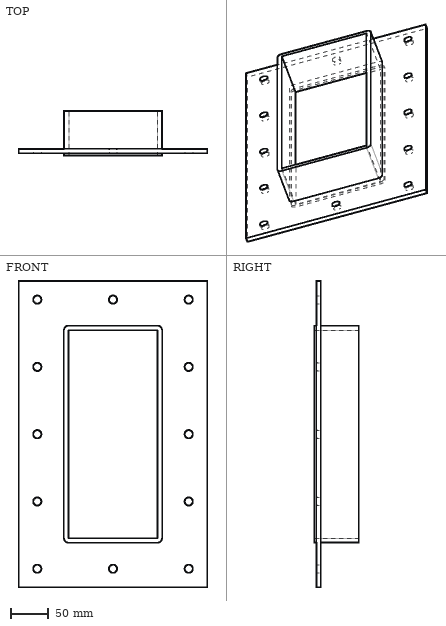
import cadquery as cq

plate_width = 252.5
plate_height = 410.0
plate_thickness = 6.0

duct_width = 131.0
duct_height = 290.3
duct_length = 60.0
duct_wall = 6.0
duct_corner_radius = 6.0
front_lip = 3.0

hole_diameter = 10.5
hole_inset = 25.0
side_hole_count = 5


def block(width, height, front, length):
    """Block centred on X and Z, running along +Y from the given front."""
    return (
        cq.Workplane("XY")
        .box(width, length, height, centered=(True, False, True))
        .translate((0, front, 0))
    )


def bolt_positions():
    """Two side columns of holes, plus one hole mid-width at top and bottom."""
    column_x = plate_width / 2 - hole_inset
    row_z = plate_height / 2 - hole_inset
    pitch = 2 * row_z / (side_hole_count - 1)
    columns = [
        (x, -row_z + i * pitch)
        for x in (-column_x, column_x)
        for i in range(side_hole_count)
    ]
    return columns + [(0, -row_z), (0, row_z)]


plate = block(plate_width, plate_height, 0, plate_thickness)

bolt_holes = (
    cq.Workplane("XZ")
    .pushPoints(bolt_positions())
    .circle(hole_diameter / 2)
    .extrude(-plate_thickness)
)

duct = block(duct_width, duct_height, -front_lip, duct_length).edges("|Y").fillet(duct_corner_radius)
opening = block(duct_width - 2 * duct_wall, duct_height - 2 * duct_wall, -front_lip, duct_length)

result = plate.cut(bolt_holes).union(duct).cut(opening)